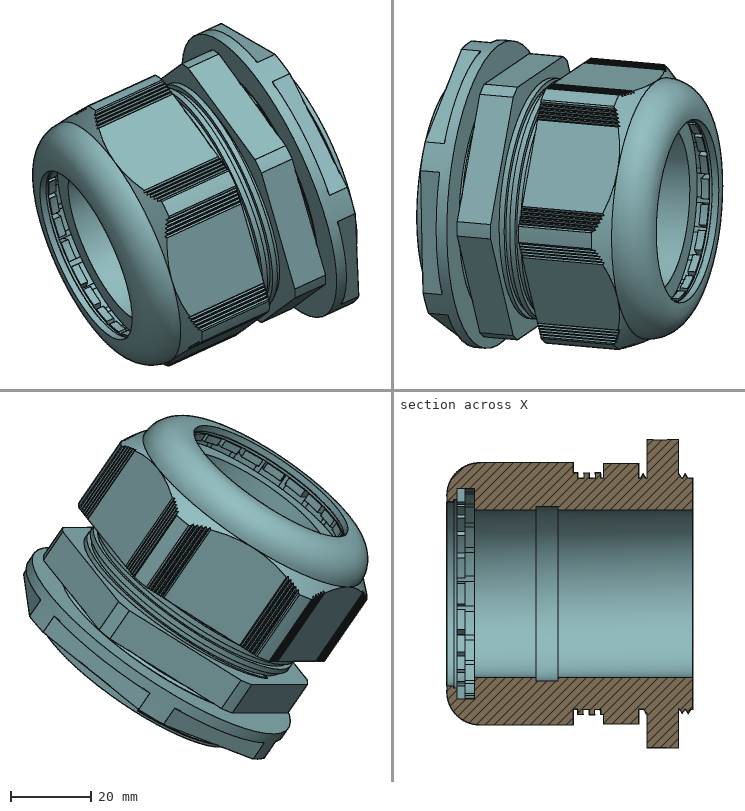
import cadquery as cq
import math


DOME_END = 8.3
CAP_END = 31.6
BODY_HEX_START = 39.05
BODY_HEX_END = 47.9
NUT_START = 49.9
NUT_FLATS_START = 52.75
NUT_END = 57.8
TOTAL_LENGTH = 61.4

CAP_APOTHEM = 32.7
CAP_CORNER_RADIUS = 36.65
GRIP_GROOVES = 5
GRIP_MARGIN = 0.85
GRIP_PITCH = 1.0
GRIP_WIDTH = 0.7
GRIP_DEPTH = 0.5

BODY_HEX_APOTHEM = 32.5
BODY_HEX_CORNER_RADIUS = 36.5
CORE_RADIUS = 28.9
NUT_RADIUS = 38.5
NUT_APOTHEM = 35.0
NUT_TURN = 3.2

THREAD_SINK = 0.2
CAP_THREAD_PITCH = 2.85
CAP_THREAD_TURNS = 2.9
CAP_THREAD_START = 31.3
CAP_THREAD_HEIGHT = 1.3
CAP_THREAD_WIDTH = 1.4
ENTRY_THREAD_LENGTH = 11.25
ENTRY_THREAD_TURNS = 7.5
ENTRY_THREAD_PITCH = ENTRY_THREAD_LENGTH / ENTRY_THREAD_TURNS
ENTRY_THREAD_START = 49.0
ENTRY_THREAD_HEIGHT = 1.1
ENTRY_THREAD_HALF_ANGLE = 30

MOUTH_RADIUS = 22.95
SEAL_RADIUS = 20.9
SEAL_START = 6.9
SEAL_END = 22.3
INNER_BORE_RADIUS = 21.7
LEDGE_START = 27.7
MOUTH_GROOVE_RADIUS = 23.5
MOUTH_GROOVE_START = 1.8
CLAW_COUNT = 22
CLAW_START = 2.6
CLAW_END = 4.6
CLAW_GAP_WIDTH = 1.4
CLAW_RELIEF_RADIUS = 26.2


def cylinder(radius, start, end):
    return cq.Workplane("XY").workplane(offset=start).circle(radius).extrude(end - start)


def hexagon(apothem, start, end, turn=0):
    """Hexagonal prism with corners on the X axis, turned by the given angle."""
    corner_diameter = 2 * apothem / math.cos(math.pi / 6)
    prism = cq.Workplane("XY").workplane(offset=start).polygon(6, corner_diameter).extrude(end - start)
    return prism.rotate((0, 0, 0), (0, 0, 1), turn)


def helical_ridge(outline, pitch, turns, start, turn, left_handed):
    """Thread ridge swept from an outline of (radius, height) points."""
    path = cq.Wire.makeHelix(pitch, pitch * turns, CORE_RADIUS, lefthand=left_handed)
    ridge = cq.Workplane("XZ").polyline(outline).close().sweep(cq.Workplane(path), isFrenet=True)
    return ridge.rotate((0, 0, 0), (0, 0, 1), turn).translate((0, 0, start))


def grip_grooves():
    """V grooves beside both ends of every flat of the cap."""
    flat_half = math.sqrt(CAP_CORNER_RADIUS**2 - CAP_APOTHEM**2)
    cutter = (
        cq.Workplane("XY")
        .polyline([
            (-GRIP_WIDTH / 2, CAP_APOTHEM),
            (GRIP_WIDTH / 2, CAP_APOTHEM),
            (0, CAP_APOTHEM - GRIP_DEPTH),
        ])
        .close()
        .extrude(CAP_END)
    )
    grooves = []
    for flat in range(6):
        for index in range(GRIP_GROOVES):
            offset = flat_half - GRIP_MARGIN - index * GRIP_PITCH
            for side in (-1, 1):
                groove = cutter.translate((side * offset, 0, 0))
                grooves.append(groove.rotate((0, 0, 0), (0, 0, 1), 60 * flat).val())
    return cq.Workplane("XY").newObject([cq.Compound.makeCompound(grooves)])


def make_cap():
    """Hexagonal grip, turned off at the corners, with a quarter-round dome in front."""
    corner_drop = CAP_CORNER_RADIUS - CAP_APOTHEM
    dome_middle = DOME_END * math.sqrt(0.5)
    face_radius = CAP_APOTHEM - DOME_END
    turned_limit = (
        cq.Workplane("XZ")
        .moveTo(0, 0)
        .lineTo(face_radius, 0)
        .threePointArc((face_radius + dome_middle, DOME_END - dome_middle), (CAP_APOTHEM, DOME_END))
        .lineTo(CAP_CORNER_RADIUS, DOME_END + corner_drop)
        .lineTo(CAP_CORNER_RADIUS, CAP_END)
        .lineTo(0, CAP_END)
        .close()
        .revolve(360, (0, 0, 0), (0, 1, 0))
    )
    return hexagon(CAP_APOTHEM, 0, CAP_END).intersect(turned_limit).cut(grip_grooves())


def cap_thread():
    half_width = CAP_THREAD_WIDTH / 2
    root = CORE_RADIUS - THREAD_SINK
    crest = CORE_RADIUS + CAP_THREAD_HEIGHT
    outline = [(root, -half_width), (crest, -half_width), (crest, half_width), (root, half_width)]
    return helical_ridge(outline, CAP_THREAD_PITCH, CAP_THREAD_TURNS, CAP_THREAD_START, 0, True)


def entry_thread():
    root = CORE_RADIUS - THREAD_SINK
    crest = CORE_RADIUS + ENTRY_THREAD_HEIGHT
    half_width = (crest - root) * math.tan(math.radians(ENTRY_THREAD_HALF_ANGLE))
    outline = [(root, -half_width), (crest, 0), (root, half_width)]
    return helical_ridge(outline, ENTRY_THREAD_PITCH, ENTRY_THREAD_TURNS, ENTRY_THREAD_START, -90, False)


def make_body():
    core = cylinder(CORE_RADIUS, DOME_END, TOTAL_LENGTH)
    flats = hexagon(BODY_HEX_APOTHEM, BODY_HEX_START, BODY_HEX_END)
    corners = cylinder(BODY_HEX_CORNER_RADIUS, BODY_HEX_START, BODY_HEX_END)
    return core.union(cap_thread()).union(entry_thread()).union(flats.intersect(corners))


def make_locknut():
    """Round flange with six flats cut behind it; the nut sits slightly turned from the other hexagons."""
    flange = cylinder(NUT_RADIUS, NUT_START, NUT_FLATS_START)
    rim = cylinder(NUT_RADIUS, NUT_FLATS_START, NUT_END)
    flats = hexagon(NUT_APOTHEM, NUT_FLATS_START, NUT_END, 30 - NUT_TURN)
    return flange.union(rim.intersect(flats))


def make_bore():
    """Bore with a grooved mouth, a ring of claws, the seal seat and a wider stretch behind the seal."""
    mouth = cylinder(MOUTH_RADIUS, 0, SEAL_START)
    groove = cylinder(MOUTH_GROOVE_RADIUS, MOUTH_GROOVE_START, CLAW_START)
    relief = cylinder(CLAW_RELIEF_RADIUS, CLAW_END, SEAL_START)
    seal = cylinder(SEAL_RADIUS, 0, TOTAL_LENGTH)
    inner = cylinder(INNER_BORE_RADIUS, SEAL_END, LEDGE_START)
    bore = mouth.union(groove).union(relief).union(seal).union(inner)
    gap_length = CLAW_RELIEF_RADIUS - SEAL_RADIUS
    gaps = (
        cq.Workplane("XY")
        .workplane(offset=CLAW_START)
        .polarArray(SEAL_RADIUS + gap_length / 2, 90, 360, CLAW_COUNT)
        .rect(gap_length, CLAW_GAP_WIDTH)
        .extrude(SEAL_START - CLAW_START)
    )
    return bore.union(gaps)


gland = make_body().union(make_locknut()).union(make_cap())
gland = gland.cut(make_bore())
result = gland.rotate((0, 0, 0), (1, 0, 0), -90)